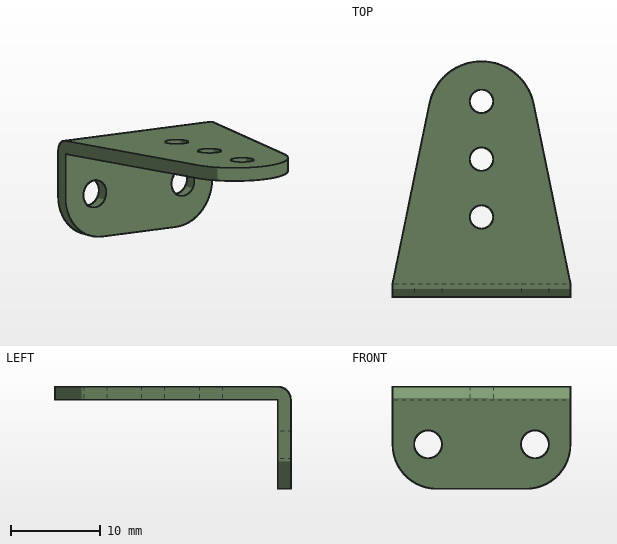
import cadquery as cq
import math

width = 20.0
length = 26.5
height = 11.5
thickness = 1.5

nose_radius = 6.0
plate_hole_diameter = 2.6
plate_hole_pitch = 6.5
plate_hole_count = 3
end_hole_inset = 4.5

corner_radius = 5.0
flange_hole_diameter = 3.1
flange_hole_spacing = 12.0
flange_hole_depth = 6.5

half_width = width / 2
nose_center_y = length - nose_radius


def make_plate():
    """Plate with straight sides tangent to the nose arc."""
    taper_length = nose_center_y - thickness
    center_distance = math.hypot(half_width, taper_length)
    corner_angle = math.atan2(-taper_length, half_width)
    tangent_angle = corner_angle + math.acos(nose_radius / center_distance)
    tangent_x = nose_radius * math.cos(tangent_angle)
    tangent_y = nose_center_y + nose_radius * math.sin(tangent_angle)
    plate = (
        cq.Workplane("XY")
        .moveTo(-half_width, 0)
        .lineTo(half_width, 0)
        .lineTo(half_width, thickness)
        .lineTo(tangent_x, tangent_y)
        .threePointArc((0, length), (-tangent_x, tangent_y))
        .lineTo(-half_width, thickness)
        .close()
        .extrude(-thickness)
    )
    first_hole_y = length - end_hole_inset
    hole_centers = [(0, first_hole_y - i * plate_hole_pitch) for i in range(plate_hole_count)]
    holes = (
        cq.Workplane("XY")
        .pushPoints(hole_centers)
        .circle(plate_hole_diameter / 2)
        .extrude(-thickness)
    )
    return plate.cut(holes)


def make_flange():
    """Flange hanging from the bend, with rounded lower corners and two holes."""
    flange = (
        cq.Workplane("XY")
        .box(width, thickness, height, centered=(True, False, False))
        .translate((0, 0, -height))
        .edges("|Y and <Z")
        .fillet(corner_radius)
    )
    hole_x = flange_hole_spacing / 2
    holes = (
        cq.Workplane("XZ")
        .pushPoints([(-hole_x, -flange_hole_depth), (hole_x, -flange_hole_depth)])
        .circle(flange_hole_diameter / 2)
        .extrude(-thickness)
    )
    return flange.cut(holes)


def make_bend_waste():
    """Material outside the rounded outer corner of the bend."""
    corner = (
        cq.Workplane("XY")
        .box(width, thickness, thickness, centered=(True, False, False))
        .translate((0, 0, -thickness))
    )
    bend = (
        cq.Workplane("YZ", origin=(-half_width, 0, 0))
        .center(thickness, -thickness)
        .circle(thickness)
        .extrude(width)
    )
    return corner.cut(bend)


result = make_plate().union(make_flange()).cut(make_bend_waste())